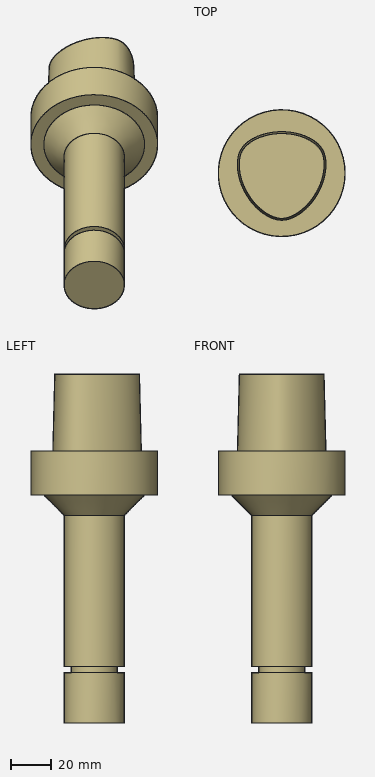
import cadquery as cq
import math


shank_length = 38.0
shank_base_width = 44.0
shank_taper = 1 / 20
shank_top_width = shank_base_width - shank_length * shank_taper
lobe_height = 1.4
lobe_count = 3
outline_points = 72

flange_diameter = 63.0
flange_thickness = 22.0
cone_top_diameter = 50.0
cone_end_diameter = 30.0
cone_length = (cone_top_diameter - cone_end_diameter) / 2

shaft_diameter = cone_end_diameter
neck_diameter = 23.0
neck_length = 3.0
head_diameter = shaft_diameter
head_length = 25.0
overall_length = 173.0

cone_top_z = -flange_thickness
shaft_top_z = cone_top_z - cone_length
head_bottom_z = shank_length - overall_length
head_top_z = head_bottom_z + head_length
neck_top_z = head_top_z + neck_length


def lobed_outline_point(t, width):
    """Point on a constant-width lobed curve; t runs 0..1 from the lobe at -Y."""
    turn = 2 * math.pi * t
    support = width / 2 + lobe_height * math.cos(lobe_count * turn)
    slope = -lobe_count * lobe_height * math.sin(lobe_count * turn)
    angle = turn - math.pi / 2
    x = support * math.cos(angle) - slope * math.sin(angle)
    y = support * math.sin(angle) + slope * math.cos(angle)
    return x, y


def make_lobed_wire(width, z):
    points = [lobed_outline_point(i / outline_points, width) for i in range(outline_points)]
    return cq.Workplane("XY", origin=(0, 0, z)).spline(points, periodic=True).wire().val()


def make_polygon_shank():
    base = make_lobed_wire(shank_base_width, 0)
    top = make_lobed_wire(shank_top_width, shank_length)
    return cq.Workplane(cq.Solid.makeLoft([base, top], True))


def make_turned_body():
    """Flange, cone, shaft and neck revolved from one half profile."""
    return (
        cq.Workplane("XZ")
        .moveTo(0, 0)
        .lineTo(flange_diameter / 2, 0)
        .lineTo(flange_diameter / 2, cone_top_z)
        .lineTo(cone_top_diameter / 2, cone_top_z)
        .lineTo(cone_end_diameter / 2, shaft_top_z)
        .lineTo(shaft_diameter / 2, neck_top_z)
        .lineTo(neck_diameter / 2, neck_top_z)
        .lineTo(neck_diameter / 2, head_top_z)
        .lineTo(0, head_top_z)
        .close()
        .revolve(360, (0, 0, 0), (0, 1, 0))
    )


def make_holder():
    return make_turned_body().union(make_polygon_shank()).solids()


def make_head():
    return cq.Workplane("XY", origin=(0, 0, head_bottom_z)).circle(head_diameter / 2).extrude(head_length)


holder = make_holder()
head = make_head()

result = cq.Compound.makeCompound([holder.val(), head.val()])